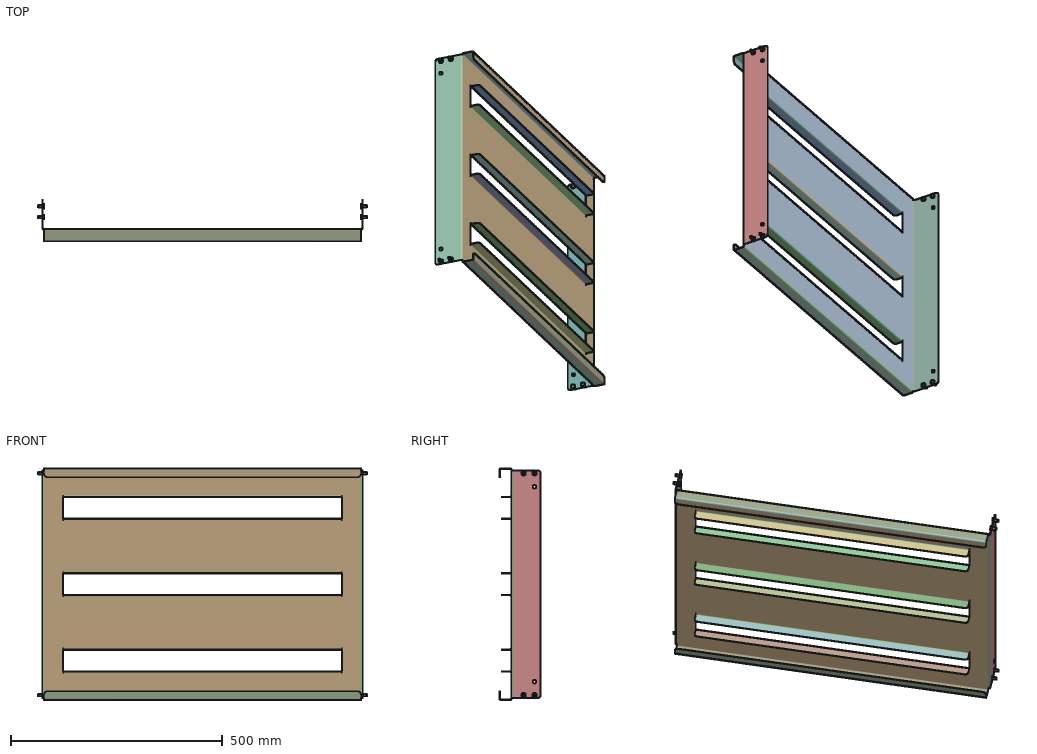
import cadquery as cq

STUD_SPAN = 777.0
DEPTH = 98.0
HEIGHT = 547.0

SHEET = 1.8
BEND_INNER = 2.1
BEND_OUTER = BEND_INNER + SHEET
BACK_Y = DEPTH / 2
FRONT_Y = -DEPTH / 2
PANEL_FRONT_Y = -21.0
PANEL_BACK_Y = PANEL_FRONT_Y + SHEET
PANEL_WIDTH = 757.0
WALL_HEIGHT = 538.0
WALL_CORNER = 7.0

FLANGE_WIDTH = 748.0
LIP_HEIGHT = 21.0
LIP_CORNER = 8.5

SLOT_COUNT = 3
SLOT_PITCH = 180.0
SLOT_WIDTH = 657.0
SLOT_CLEAR_HEIGHT = 50.0
TAB_LENGTH = 22.0
TAB_CORNER = 7.0

STUD_Z = 262.0
STUD_YS = (34.0, 8.5)
STUD_HEAD_DIAMETER = 11.0
STUD_HEAD_LENGTH = 3.0
STUD_SHOULDER_DIAMETER = 8.5
STUD_SHAFT_DIAMETER = 6.0
STUD_CHAMFER_LENGTH = 2.0
STUD_CHAMFER_DEPTH = 1.0
HOLE_Z = 230.0
HOLE_Y = STUD_YS[0]
HOLE_DIAMETER = 8.0

WALL_OUTER_X = PANEL_WIDTH / 2
WALL_INNER_X = WALL_OUTER_X - SHEET
CUT_MARGIN = 8.0
SIGNS = (-1, 1)


def x_cylinder(diameter, x_start, x_end, y, z):
    """Cylinder along X between two X positions."""
    return (
        cq.Workplane("YZ", origin=(x_start, y, z))
        .circle(diameter / 2)
        .extrude(x_end - x_start)
    )


def make_channel():
    """Panel with its two side walls, bent backwards."""
    outer = (
        cq.Workplane("XY")
        .box(PANEL_WIDTH, BACK_Y - PANEL_FRONT_Y, WALL_HEIGHT, centered=(True, False, True))
        .translate((0, PANEL_FRONT_Y, 0))
        .edges("|Z and <Y")
        .fillet(BEND_OUTER)
    )
    inner = (
        cq.Workplane("XY")
        .box(2 * WALL_INNER_X, BACK_Y - PANEL_BACK_Y + CUT_MARGIN, WALL_HEIGHT + CUT_MARGIN,
             centered=(True, False, True))
        .translate((0, PANEL_BACK_Y, 0))
        .edges("|Z and <Y")
        .fillet(BEND_INNER)
    )
    return outer.cut(inner).edges("|X and >Y").fillet(WALL_CORNER)


def make_top_flange():
    """Flange bent forward from the panel's top edge, ending in a lip bent down."""
    top = HEIGHT / 2
    root_z = WALL_HEIGHT / 2 - BEND_OUTER
    lip_bottom = top - LIP_HEIGHT
    profile = (
        cq.Workplane("YZ")
        .moveTo(PANEL_BACK_Y, root_z)
        .lineTo(PANEL_BACK_Y, top - BEND_OUTER)
        .radiusArc((PANEL_BACK_Y - BEND_OUTER, top), -BEND_OUTER)
        .lineTo(FRONT_Y + BEND_OUTER, top)
        .radiusArc((FRONT_Y, top - BEND_OUTER), -BEND_OUTER)
        .lineTo(FRONT_Y, lip_bottom)
        .lineTo(FRONT_Y + SHEET, lip_bottom)
        .lineTo(FRONT_Y + SHEET, top - BEND_OUTER)
        .radiusArc((FRONT_Y + BEND_OUTER, top - SHEET), BEND_INNER)
        .lineTo(PANEL_FRONT_Y - BEND_INNER, top - SHEET)
        .radiusArc((PANEL_FRONT_Y, top - BEND_OUTER), BEND_INNER)
        .lineTo(PANEL_FRONT_Y, root_z)
        .close()
    )
    flange = profile.extrude(FLANGE_WIDTH / 2, both=True)
    lip_corners = cq.selectors.BoxSelector(
        (-PANEL_WIDTH, FRONT_Y - SHEET, lip_bottom - SHEET),
        (PANEL_WIDTH, FRONT_Y + 2 * SHEET, lip_bottom + SHEET),
    )
    return flange.edges("|Y").edges(lip_corners).fillet(LIP_CORNER)


def make_upper_tab():
    """Tab bent forward along the upper edge of a slot centred on Z = 0."""
    under = SLOT_CLEAR_HEIGHT / 2
    tip_y = PANEL_FRONT_Y - TAB_LENGTH
    profile = (
        cq.Workplane("YZ")
        .moveTo(tip_y, under)
        .lineTo(PANEL_BACK_Y - BEND_OUTER, under)
        .radiusArc((PANEL_BACK_Y, under + BEND_OUTER), -BEND_OUTER)
        .lineTo(PANEL_FRONT_Y, under + BEND_OUTER)
        .radiusArc((PANEL_FRONT_Y - BEND_INNER, under + SHEET), BEND_INNER)
        .lineTo(tip_y, under + SHEET)
        .close()
    )
    return profile.extrude(SLOT_WIDTH / 2, both=True).edges("|Z and <Y").fillet(TAB_CORNER)


def make_panel():
    top_flange = make_top_flange()
    panel = make_channel().union(top_flange).union(top_flange.mirror("XY"))

    upper_tab = make_upper_tab()
    lower_tab = upper_tab.mirror("XY")
    slot_cut = cq.Workplane("XY").box(
        SLOT_WIDTH, SHEET, SLOT_CLEAR_HEIGHT + 2 * BEND_OUTER
    ).translate((0, (PANEL_FRONT_Y + PANEL_BACK_Y) / 2, 0))
    for index in range(SLOT_COUNT):
        place = (0, 0, (index - (SLOT_COUNT - 1) / 2) * SLOT_PITCH)
        panel = panel.cut(slot_cut.translate(place))
        panel = panel.union(upper_tab.translate(place)).union(lower_tab.translate(place))

    reach = WALL_OUTER_X + CUT_MARGIN
    for level in SIGNS:
        panel = panel.cut(x_cylinder(HOLE_DIAMETER, -reach, reach, HOLE_Y, level * HOLE_Z))
        for y in STUD_YS:
            panel = panel.cut(x_cylinder(STUD_SHOULDER_DIAMETER, -reach, reach, y, level * STUD_Z))
    return panel


def make_stud(side, y, z):
    """Stud through a side wall: head inside, shoulder in the hole, shaft outside."""
    tip_x = STUD_SPAN / 2
    head = x_cylinder(STUD_HEAD_DIAMETER, WALL_INNER_X - STUD_HEAD_LENGTH, WALL_INNER_X, y, z)
    shoulder = x_cylinder(STUD_SHOULDER_DIAMETER, WALL_INNER_X, WALL_OUTER_X, y, z)
    shaft = x_cylinder(STUD_SHAFT_DIAMETER, WALL_OUTER_X, tip_x, y, z)
    shaft = shaft.faces(">X").chamfer(STUD_CHAMFER_LENGTH, STUD_CHAMFER_DEPTH)
    stud = head.union(shoulder).union(shaft)
    return stud if side > 0 else stud.mirror("YZ")


panel = make_panel()
studs = [
    make_stud(side, y, level * STUD_Z)
    for side in SIGNS
    for level in SIGNS
    for y in STUD_YS
]
result = cq.Compound.makeCompound([panel.solids().val(), *[stud.solids().val() for stud in studs]])